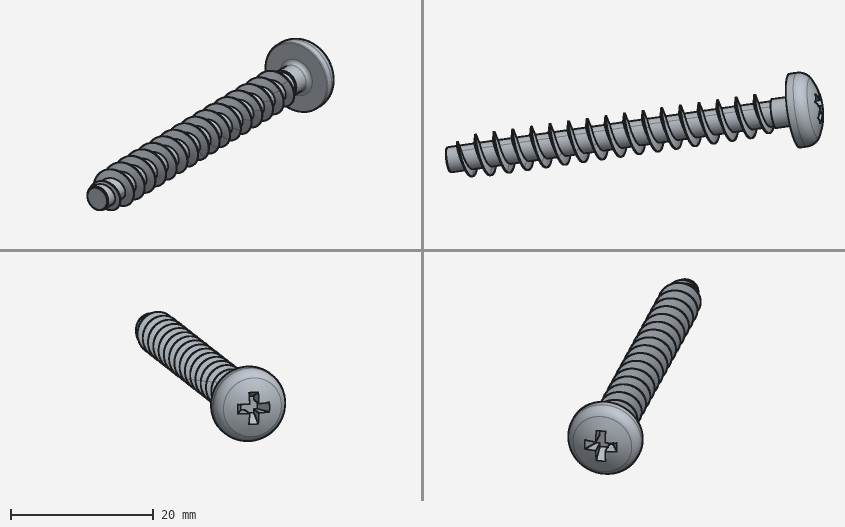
import cadquery as cq
import math


head_radius = 5.25
head_height = 3.95
rim_height = 1.1
shoulder_radius = 2.0
rim_edge_round = 0.12

recess_width = 1.35
recess_top_reach = 2.45
recess_bottom_reach = 1.2
recess_depth = 2.7

screw_length = 50.0
neck_radius = 2.07
neck_fillet = 0.65
neck_length = 2.95
core_radius = 1.8
tip_chamfer = 0.15

pitch = 2.69
thread_radius = 3.0
thread_root_radius = 1.55
thread_fade_radius = 1.77
crest_width = 0.14
flank_slope = math.tan(math.radians(15))
thread_start = -2.6
thread_end = -49.6
start_run = 2.7
end_run = 4.3
crest_phase_y = -6.24
points_per_turn = 24


def make_head():
    """Domed head: upright rim with a rounded edge, tangent shoulder arc and shallow crown."""
    shoulder_x = head_radius - shoulder_radius
    dome_rise = head_height - rim_height
    crown_radius = (shoulder_x**2 + dome_rise**2 - shoulder_radius**2) / (2 * (dome_rise - shoulder_radius))
    crown_center_y = head_height - crown_radius
    join_angle = math.asin(shoulder_x / (crown_radius - shoulder_radius))

    def arc_point(center_x, center_y, radius, angle):
        return center_x + radius * math.sin(angle), center_y + radius * math.cos(angle)

    shoulder_angle = (join_angle + math.pi / 2) / 2
    shoulder_mid = arc_point(shoulder_x, rim_height, shoulder_radius, shoulder_angle)
    join = arc_point(0, crown_center_y, crown_radius, join_angle)
    crown_mid = arc_point(0, crown_center_y, crown_radius, join_angle / 2)
    profile = (
        cq.Workplane("XY")
        .lineTo(head_radius - rim_edge_round, 0)
        .radiusArc((head_radius, rim_edge_round), -rim_edge_round)
        .lineTo(head_radius, rim_height)
        .threePointArc(shoulder_mid, join)
        .threePointArc(crown_mid, (0, head_height))
        .close()
    )
    return profile.revolve(360, (0, 0, 0), (0, 1, 0))


def make_shank():
    """Neck with a fillet under the head, stepping down to the thread core and a chamfered tip."""
    profile = (
        cq.Workplane("XY")
        .lineTo(neck_radius + neck_fillet, 0)
        .radiusArc((neck_radius, -neck_fillet), -neck_fillet)
        .lineTo(neck_radius, -neck_length)
        .lineTo(core_radius, -neck_length)
        .lineTo(core_radius, tip_chamfer - screw_length)
        .lineTo(core_radius - tip_chamfer, -screw_length)
        .lineTo(0, -screw_length)
        .close()
    )
    return profile.revolve(360, (0, 0, 0), (0, 1, 0))


def make_recess():
    """Cross recess: two perpendicular wings whose ends slope inwards to a flat floor."""
    floor_y = head_height - recess_depth
    wing = (
        cq.Workplane("XY")
        .moveTo(-recess_bottom_reach, floor_y)
        .lineTo(recess_bottom_reach, floor_y)
        .lineTo(recess_top_reach, head_height)
        .lineTo(-recess_top_reach, head_height)
        .close()
        .extrude(recess_width / 2, both=True)
    )
    return wing.union(wing.rotate((0, 0, 0), (0, 1, 0), 90))


def crest_radius(y):
    """Crest radius at height y, fading into the core at both ends of the thread."""
    start_share = min(1, (thread_start - y) / start_run)
    end_share = min(1, (y - thread_end) / end_run)
    share = max(0, min(start_share, end_share))
    return thread_fade_radius + (thread_radius - thread_fade_radius) * math.sin(share * math.pi / 2)


def thread_section(y):
    """Corners of the thread ridge at height y: lower root, lower crest, upper crest, upper root."""
    turn = 2 * math.pi * (y - crest_phase_y) / pitch
    crest = crest_radius(y)
    half_crest = crest_width / 2
    half_root = half_crest + (crest - thread_root_radius) * flank_slope
    corners = [
        (thread_root_radius, -half_root),
        (crest, -half_crest),
        (crest, half_crest),
        (thread_root_radius, half_root),
    ]
    return [cq.Vector(-r * math.cos(turn), y + dy, r * math.sin(turn)) for r, dy in corners]


def make_thread_turn(bottom_y, top_y):
    """About one turn of the right-hand ridge: four helical ruled faces and two flat end caps."""
    step = (top_y - bottom_y) / points_per_turn
    sections = [thread_section(bottom_y + i * step) for i in range(points_per_turn + 1)]
    edges = [cq.Edge.makeSpline(list(corner_path)) for corner_path in zip(*sections)]
    faces = [cq.Face.makeRuledSurface(edges[i - 1], edges[i]) for i in range(len(edges))]
    for section in (sections[0], sections[-1]):
        faces.append(cq.Face.makeFromWires(cq.Wire.makePolygon(section, close=True)))
    return cq.Solid.makeSolid(cq.Shell.makeShell(faces))


def add_thread(body):
    """Join the ridge to the core turn by turn, which keeps every union small."""
    turn_count = math.ceil((thread_start - thread_end) / pitch)
    turn_height = (thread_start - thread_end) / turn_count
    for turn in range(turn_count):
        bottom_y = thread_end + turn * turn_height
        body = body.union(cq.Workplane(make_thread_turn(bottom_y, bottom_y + turn_height)))
    return body


screw_body = make_head().union(make_shank()).cut(make_recess())
result = add_thread(screw_body)